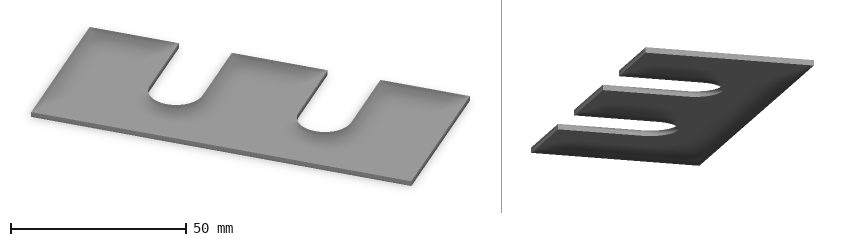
import cadquery as cq

length = 115.0
width = 50.0
thickness = 1.6

slot_width = 16.0
slot_depth = 33.0
slot_spacing = 45.0

slot_radius = slot_width / 2
back_edge = width / 2
arc_center_y = back_edge - slot_depth + slot_radius


def open_slot(center_x):
    """Cutter for one slot: straight sides with a half-round closed end."""
    return (
        cq.Workplane("XY")
        .moveTo(center_x - slot_radius, back_edge)
        .lineTo(center_x - slot_radius, arc_center_y)
        .threePointArc(
            (center_x, arc_center_y - slot_radius),
            (center_x + slot_radius, arc_center_y),
        )
        .lineTo(center_x + slot_radius, back_edge)
        .close()
        .extrude(thickness)
    )


result = cq.Workplane("XY").box(length, width, thickness, centered=(True, True, False))
for side in (-1, 1):
    result = result.cut(open_slot(side * slot_spacing / 2))